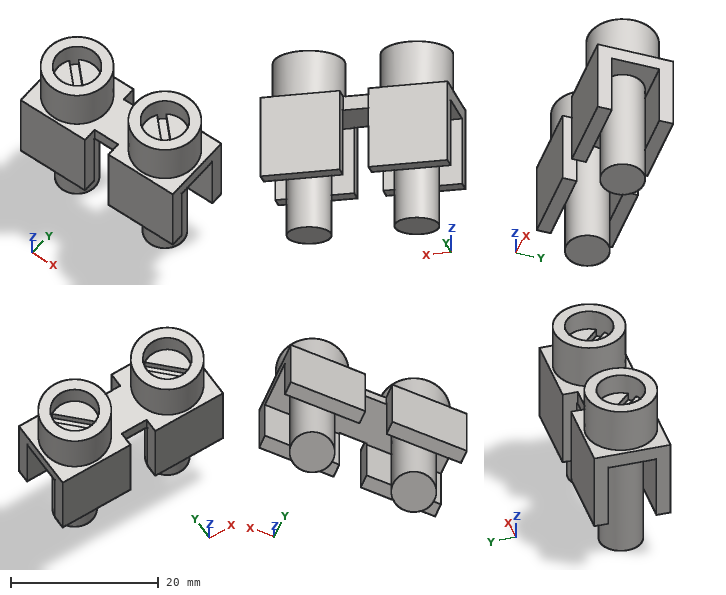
import cadquery as cq

total_length = 26.0
block_length = 11.0
block_depth = 10.8
block_height = 11.5
wall = 2.0
bridge_depth = 6.5

pin_diameter = 6.1
pin_projection = 7.02
collar_diameter = 9.9
collar_height = 6.5
screw_diameter = 6.6
screw_recess = 3.0
slot_width = 1.25
slot_depth = 1.05
slot_angle = -45.0

block_top = pin_projection + block_height
roof_bottom = block_top - wall
collar_top = block_top + collar_height
screw_face = collar_top - screw_recess
block_spacing = total_length - block_length
block_centers = (-block_spacing / 2, block_spacing / 2)


def centered_box(length, depth, bottom, top, x=0):
    """Box centered on (x, 0) between two heights."""
    return (
        cq.Workplane("XY", origin=(x, 0, bottom))
        .box(length, depth, top - bottom, centered=(True, True, False))
    )


def cylinder(diameter, bottom, top, x):
    """Vertical cylinder on the axis at x between two heights."""
    return (
        cq.Workplane("XY", origin=(x, 0, bottom))
        .circle(diameter / 2)
        .extrude(top - bottom)
    )


def channel_block(x):
    """Block hollowed from below, open at both X ends."""
    block = centered_box(block_length, block_depth, pin_projection, block_top, x)
    channel = centered_box(block_length, block_depth - 2 * wall, pin_projection, roof_bottom, x)
    return block.cut(channel)


def screw_slot(x):
    """Diagonal driver slot across the screw head, ending at its round edge."""
    slot_bottom = screw_face - slot_depth
    bar = (
        cq.Workplane("XY", origin=(x, 0, slot_bottom))
        .transformed(rotate=(0, 0, slot_angle))
        .rect(screw_diameter, slot_width)
        .extrude(slot_depth)
    )
    return bar.intersect(cylinder(screw_diameter, slot_bottom, screw_face, x))


result = centered_box(block_spacing, bridge_depth, roof_bottom, block_top)

for center in block_centers:
    result = result.union(channel_block(center))
    result = result.union(cylinder(pin_diameter, 0, block_top, center))
    result = result.union(cylinder(collar_diameter, block_top, collar_top, center))
    result = result.cut(cylinder(screw_diameter, screw_face, collar_top, center))
    result = result.cut(screw_slot(center))